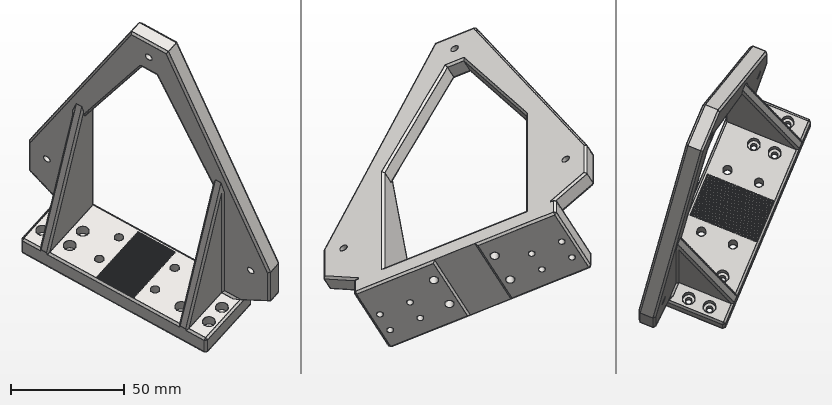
import cadquery as cq

height = 155.0
plate_width = 130.0
depth = 35.0
bevel = 1.0

base_width = 100.0
base_height = 10.0
relief_width = 20.0
relief_depth = bevel

groove_length = 20.0
groove_count = 32
groove_pitch = depth / (groove_count + 3)
groove_radius = groove_pitch / 4
groove_centre_y = -depth / 2 - groove_radius

plate_thickness = 8.0
plate_top_width = 20.0
side_bottom_z = 20.0
side_top_z = 40.0

opening_width = 70.0
opening_top_width = 8.0
opening_top_z = 135.0
opening_shoulder_z = 78.1

rib_thickness = 5.0
rib_top_z = 85.0

plate_hole_diameter = 3.5
plate_hole_inset = 10.0
side_hole_z = 35.0

bolt_diameter = 3.0
bolt_head_diameter = 5.6
bolt_head_depth = base_height / 2
bolt_xs = (30.0, 45.0)
bolt_ys = (-15.8, -25.7)
pin_diameter = 4.0
pin_x = 15.0
pin_ys = (-9.5, -24.5)

rib_inner_x = opening_width / 2
rib_outer_x = rib_inner_x + rib_thickness
root_z = 2 * bevel

lower_edge_run = (plate_width - base_width) / 2 / (side_bottom_z - base_height)
root_x = base_width / 2 - lower_edge_run * bevel


def both_sides(right_half):
    """Close a right-hand outline with its mirror image about X = 0."""
    return right_half + [(-x, z) for x, z in reversed(right_half)]


def upright(outline, thickness):
    """Extrude an XZ outline forward (toward -Y) from the back face."""
    return cq.Workplane("XZ").polyline(outline).close().extrude(thickness)


plate_outline = both_sides([
    (root_x, root_z),
    (root_x, base_height - bevel),
    (plate_width / 2, side_bottom_z),
    (plate_width / 2, side_top_z),
    (plate_top_width / 2, height),
])

opening_outline = both_sides([
    (opening_width / 2, base_height),
    (opening_width / 2, opening_shoulder_z),
    (opening_top_width / 2, opening_top_z),
])


def make_plate():
    """Plate with an opening; inner and outer rims are chamfered front and back."""
    plate = upright(plate_outline, plate_thickness).cut(upright(opening_outline, plate_thickness))
    return plate.faces("<Y or >Y").chamfer(bevel)


def make_base():
    base = cq.Workplane("XY").box(base_width, depth, base_height, centered=(True, False, False))
    base = base.translate((0, -depth, 0))
    return base.edges().chamfer(bevel)


def make_base_bevel():
    """Bevel in the corner between plate and base, trimmed by the plate's rim chamfer."""
    front_y = -plate_thickness
    corner = (
        cq.Workplane("YZ")
        .polyline([
            (front_y + bevel, base_height - bevel),
            (front_y + bevel, base_height + bevel),
            (front_y, base_height + bevel),
            (front_y - bevel, base_height),
            (front_y - bevel, base_height - bevel),
        ])
        .close()
        .extrude(base_width / 2, both=True)
    )
    trim = upright(plate_outline, plate_thickness + bevel).faces("<Y").chamfer(2 * bevel)
    inside = cq.Workplane("XY").box(2 * rib_inner_x, 2 * depth, 2 * height)
    return corner.intersect(trim).cut(inside)


def make_rib():
    """Right-hand rib with a chamfered sloping face and a bevel against the plate."""
    slope = (rib_top_z - base_height) / (depth - plate_thickness)
    back_y = bevel - plate_thickness
    slab = (
        cq.Workplane("YZ", origin=(rib_inner_x - bevel, 0, 0))
        .polyline([
            (back_y, root_z),
            (-depth, root_z),
            (-depth, base_height),
            (back_y, rib_top_z + slope * bevel),
        ])
        .close()
        .extrude(rib_thickness + 2 * bevel)
        .faces("not(|X or |Y or |Z)")
        .edges("not(|X)")
        .chamfer(2 * bevel)
    )
    plan = (
        cq.Workplane("XY")
        .polyline([
            (rib_inner_x, back_y),
            (rib_inner_x, -depth),
            (rib_outer_x, -depth),
            (rib_outer_x, -plate_thickness - bevel),
            (rib_outer_x + bevel, -plate_thickness),
            (rib_outer_x + bevel, back_y),
        ])
        .close()
        .extrude(height)
    )
    return slab.intersect(plan)


def make_relief():
    """Cutter for the underside channel, with sides sloping at 45 degrees."""
    half_width = relief_width / 2
    return upright(both_sides([(half_width + relief_depth, 0), (half_width, relief_depth)]), depth)


def make_grooves():
    """Cutters for the grooves, running along X and spread over the depth of the base."""
    return (
        cq.Workplane("YZ", origin=(0, groove_centre_y, base_height))
        .rarray(groove_pitch, 1.5, groove_count, 1)
        .circle(groove_radius)
        .extrude(groove_length / 2, both=True)
    )


def make_plate_holes():
    side_hole_x = plate_width / 2 - plate_hole_inset
    centres = [
        (-side_hole_x, side_hole_z),
        (side_hole_x, side_hole_z),
        (0, height - plate_hole_inset),
    ]
    return cq.Workplane("XZ").pushPoints(centres).circle(plate_hole_diameter / 2).extrude(plate_thickness)


def make_base_holes():
    """Cutters for the counterbored bolt holes and the plain pin holes."""
    bolts = [(side * x, y) for side in (-1, 1) for x in bolt_xs for y in bolt_ys]
    pins = [(side * pin_x, y) for side in (-1, 1) for y in pin_ys]
    floor = cq.Workplane("XY")
    shanks = floor.pushPoints(bolts).circle(bolt_diameter / 2).extrude(base_height)
    heads = (
        floor.workplane(offset=base_height - bolt_head_depth)
        .pushPoints(bolts)
        .circle(bolt_head_diameter / 2)
        .extrude(bolt_head_depth)
    )
    pin_holes = floor.pushPoints(pins).circle(pin_diameter / 2).extrude(base_height)
    return shanks.union(heads).union(pin_holes)


right_rib = make_rib()

result = (
    make_plate()
    .union(make_base())
    .union(make_base_bevel())
    .union(right_rib)
    .union(right_rib.mirror("YZ"))
    .cut(make_relief())
    .cut(make_grooves())
    .cut(make_plate_holes())
    .cut(make_base_holes())
)